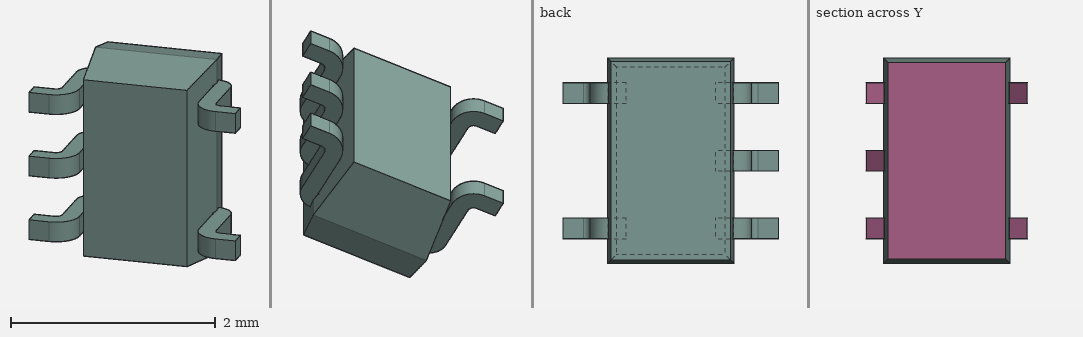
import cadquery as cq


overall_height = 1.09
parting_height = 0.802
standoff = 0.101
housing_width = 1.24
housing_length = 2.01
lower_inset = 0.09
upper_inset = 0.038

lead_span = 2.11
lead_width = 0.205
lead_thickness = 0.175
lead_pitch = 0.66
lead_top = parting_height + lead_thickness / 2
shank_setback = 0.268
foot_inner_radius = 0.063
foot_outer_radius = foot_inner_radius + lead_thickness
shoulder_radius = lead_thickness
embedded_length = lead_thickness

LEFT, RIGHT = -1, 1
lead_sites = [
    (LEFT, -lead_pitch),
    (LEFT, 0),
    (LEFT, lead_pitch),
    (RIGHT, -lead_pitch),
    (RIGHT, lead_pitch),
]


def make_housing_half(end_height, inset):
    """Frustum from the parting plane to a smaller end face."""
    return (
        cq.Workplane("XZ", origin=(0, parting_height, 0))
        .rect(housing_width, housing_length)
        .workplane(offset=parting_height - end_height)
        .rect(housing_width - 2 * inset, housing_length - 2 * inset)
        .loft(ruled=True, combine=True)
    )


def make_housing():
    lower_half = make_housing_half(standoff, lower_inset)
    upper_half = make_housing_half(overall_height, upper_inset)
    return lower_half.union(upper_half)


def make_lead(side, z_center):
    """Gull-wing lead with its foot pointing away from the housing."""
    tip = lead_span / 2
    shank_outer = tip - shank_setback
    shank_inner = shank_outer - lead_thickness
    stub_end = shank_inner - embedded_length
    foot_bend_start = shank_outer + foot_inner_radius

    strip = (
        cq.Workplane("XY", origin=(0, 0, z_center - lead_width / 2))
        .moveTo(tip, 0)
        .lineTo(tip, lead_thickness)
        .lineTo(foot_bend_start, lead_thickness)
        .radiusArc((shank_outer, foot_outer_radius), foot_inner_radius)
        .lineTo(shank_outer, lead_top - shoulder_radius)
        .radiusArc((shank_inner, lead_top), -shoulder_radius)
        .lineTo(stub_end, lead_top)
        .lineTo(stub_end, lead_top - lead_thickness)
        .lineTo(shank_inner, lead_top - lead_thickness)
        .lineTo(shank_inner, foot_outer_radius)
        .radiusArc((foot_bend_start, 0), -foot_outer_radius)
        .close()
        .extrude(lead_width)
    )
    return strip if side == RIGHT else strip.mirror("YZ")


leads = [make_lead(side, z_center) for side, z_center in lead_sites]

housing = make_housing()
for lead in leads:
    housing = housing.cut(lead)
housing = housing.solids()

result = cq.Compound.makeCompound([housing.val(), *[lead.val() for lead in leads]])